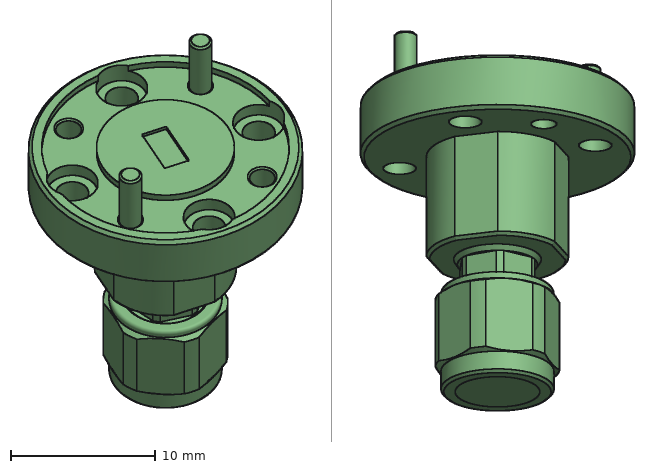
import cadquery as cq
import math

NUT_BOTTOM = 0.0
NUT_TOP = 7.5
NECK_BOTTOM = 7.35
NECK_TOP = 9.45
BARREL_BOTTOM = 9.85
FLANGE_BOTTOM = 17.47
FLANGE_TOP = 21.5
PIN_TOP = 25.35

FLANGE_DIAMETER = 19.05
FLANGE_CHAMFER = 0.25
RECESS_DIAMETER = 17.2
BOSS_DIAMETER = 9.59
RECESS_DEPTH = 0.5
RECESS_FLOOR = FLANGE_TOP - RECESS_DEPTH

WINDOW_LENGTH = 3.75
WINDOW_WIDTH = 1.88
WINDOW_DEPTH = 0.25
WINDOW_CORNER_RADIUS = 0.08

PITCH_RADIUS = 7.15
SCREW_HOLE_DIAMETER = 2.28
COUNTERBORE_DIAMETER = 3.58
COUNTERBORE_DEPTH = 1.0
DOWEL_HOLE_DIAMETER = 1.78
DOWEL_HOLE_CHAMFER = 0.13
PIN_DIAMETER = 1.57
PIN_CHAMFER = 0.15
PIN_GROOVE = 0.1

BARREL_DIAMETER = 9.9
BARREL_ACROSS_FLATS = 9.38
BARREL_CHAMFER = 0.23

COLLAR_TOP_DIAMETER = 6.09
NECK_DIAMETER = 5.58
NECK_ACROSS_FLATS = 5.07
NECK_TURN = 22.0
SHANK_DIAMETER = 5.88

RIM_DIAMETER = 7.85
RIM_FILLET = 0.25
END_CHAMFER = 0.2
BORE_CHAMFER = 0.13
NUT_DIAMETER = 8.67
NUT_ACROSS_FLATS = 8.01
NUT_TURN = 0.0
HEX_BOTTOM = 1.52
HEX_TOP = 6.97
CONE_ANGLE = 30.0


def disc(diameter, bottom, top):
    """Upright cylinder on the common axis."""
    return cq.Workplane("XY").workplane(offset=bottom).circle(diameter / 2).extrude(top - bottom)


def cone(bottom_diameter, top_diameter, bottom, top):
    """Upright truncated cone on the common axis."""
    return (
        cq.Workplane("XY").workplane(offset=bottom).circle(bottom_diameter / 2)
        .workplane(offset=top - bottom).circle(top_diameter / 2).loft(ruled=True)
    )


def hex_prism(across_flats, turn, bottom, top):
    """Upright hexagonal prism with one corner turned from +X by the given angle."""
    across_corners = across_flats / math.cos(math.radians(30))
    prism = cq.Workplane("XY").polygon(6, across_corners).extrude(top - bottom)
    return prism.rotate((0, 0, 0), (0, 0, 1), turn).translate((0, 0, bottom))


def on_pitch_circle(angles):
    """Points on the pitch circle at the given angles in degrees."""
    return [
        (PITCH_RADIUS * math.cos(math.radians(a)), PITCH_RADIUS * math.sin(math.radians(a)))
        for a in angles
    ]


SCREW_POINTS = on_pitch_circle([0, 90, 180, 270])
DOWEL_HOLE_POINTS = on_pitch_circle([45, 225])
PIN_POINTS = on_pitch_circle([135, 315])


def make_flange():
    """Round flange with an annular recess around a central boss."""
    flange = disc(FLANGE_DIAMETER, FLANGE_BOTTOM, FLANGE_TOP).edges().chamfer(FLANGE_CHAMFER)
    recess = disc(RECESS_DIAMETER, RECESS_FLOOR, FLANGE_TOP)
    boss = disc(BOSS_DIAMETER, RECESS_FLOOR, FLANGE_TOP)
    return flange.cut(recess.cut(boss))


def make_barrel():
    """Cylinder with four flats, chamfered around its lower end."""
    height = FLANGE_BOTTOM - BARREL_BOTTOM
    square = (
        cq.Workplane("XY").workplane(offset=BARREL_BOTTOM)
        .rect(BARREL_ACROSS_FLATS, BARREL_ACROSS_FLATS).extrude(height)
    )
    barrel = disc(BARREL_DIAMETER, BARREL_BOTTOM, FLANGE_BOTTOM).intersect(square)
    return barrel.faces("<Z").chamfer(BARREL_CHAMFER)


def make_window():
    """Shallow rectangular waveguide opening to cut from the boss."""
    return (
        cq.Workplane("XY").workplane(offset=FLANGE_TOP - WINDOW_DEPTH)
        .rect(WINDOW_LENGTH, WINDOW_WIDTH).extrude(WINDOW_DEPTH)
        .edges("|Z").fillet(WINDOW_CORNER_RADIUS)
    )


def make_pins():
    """Dowel pins standing on the bottom of their grooves."""
    bottom = RECESS_FLOOR - PIN_GROOVE
    return (
        cq.Workplane("XY").workplane(offset=bottom).pushPoints(PIN_POINTS)
        .circle(PIN_DIAMETER / 2).extrude(PIN_TOP - bottom)
        .faces(">Z").chamfer(PIN_CHAMFER)
    )


def cut_screw_holes(body):
    """Counterbored screw holes through the flange."""
    bore_bottom = RECESS_FLOOR - COUNTERBORE_DEPTH
    for x, y in SCREW_POINTS:
        hole = disc(SCREW_HOLE_DIAMETER, FLANGE_BOTTOM, FLANGE_TOP)
        counterbore = disc(COUNTERBORE_DIAMETER, bore_bottom, FLANGE_TOP)
        body = body.cut(hole.union(counterbore).translate((x, y, 0)))
    return body


def cut_countersinks(body, points, hole_diameter, width):
    """Cones that widen round openings in the recess floor."""
    cutter = cone(hole_diameter, hole_diameter + 2 * width, RECESS_FLOOR - width, RECESS_FLOOR)
    for x, y in points:
        body = body.cut(cutter.translate((x, y, 0)))
    return body


def cut_dowel_holes(body):
    """Chamfered through holes for the mating flange's dowel pins."""
    hole = disc(DOWEL_HOLE_DIAMETER, FLANGE_BOTTOM, FLANGE_TOP)
    for x, y in DOWEL_HOLE_POINTS:
        body = body.cut(hole.translate((x, y, 0)))
    return cut_countersinks(body, DOWEL_HOLE_POINTS, DOWEL_HOLE_DIAMETER, DOWEL_HOLE_CHAMFER)


def make_housing():
    """Flange, barrel and dowel pins as one solid."""
    body = make_flange().union(make_barrel()).cut(make_window())
    body = cut_screw_holes(body)
    body = cut_dowel_holes(body)
    body = cut_countersinks(body, PIN_POINTS, PIN_DIAMETER, PIN_GROOVE)
    return body.union(make_pins())


def make_connector():
    """Conical collar, hexagonal neck and round shank below it."""
    collar = cone(NECK_DIAMETER, COLLAR_TOP_DIAMETER, NECK_TOP, BARREL_BOTTOM)
    neck = hex_prism(NECK_ACROSS_FLATS, NECK_TURN, NECK_BOTTOM, NECK_TOP)
    neck = neck.intersect(disc(NECK_DIAMETER, NECK_BOTTOM, NECK_TOP))
    shank = disc(SHANK_DIAMETER, NUT_BOTTOM, NECK_BOTTOM)
    return shank.union(neck).union(collar)


def make_nut():
    """Coupling nut: cone-trimmed hexagon between two round rims, bored through."""
    rim = disc(RIM_DIAMETER, NUT_BOTTOM, NUT_TOP)
    rim = rim.faces(">Z").edges().fillet(RIM_FILLET).faces("<Z").edges().chamfer(END_CHAMFER)

    cone_height = (NUT_DIAMETER - RIM_DIAMETER) / 2 * math.tan(math.radians(CONE_ANGLE))
    lower_corner = HEX_BOTTOM + cone_height
    upper_corner = HEX_TOP - cone_height
    envelope = (
        cone(RIM_DIAMETER, NUT_DIAMETER, HEX_BOTTOM, lower_corner)
        .union(disc(NUT_DIAMETER, lower_corner, upper_corner))
        .union(cone(NUT_DIAMETER, RIM_DIAMETER, upper_corner, HEX_TOP))
    )
    hexagon = hex_prism(NUT_ACROSS_FLATS, NUT_TURN, HEX_BOTTOM, HEX_TOP).intersect(envelope)

    bore = disc(SHANK_DIAMETER, NUT_BOTTOM, NUT_TOP)
    bore_mouth = cone(SHANK_DIAMETER, SHANK_DIAMETER + 2 * BORE_CHAMFER, NUT_TOP - BORE_CHAMFER, NUT_TOP)
    return rim.union(hexagon).cut(bore).cut(bore_mouth)


housing = make_housing()
connector = make_connector()
nut = make_nut()

result = cq.Compound.makeCompound([housing.val(), connector.val(), nut.val()])